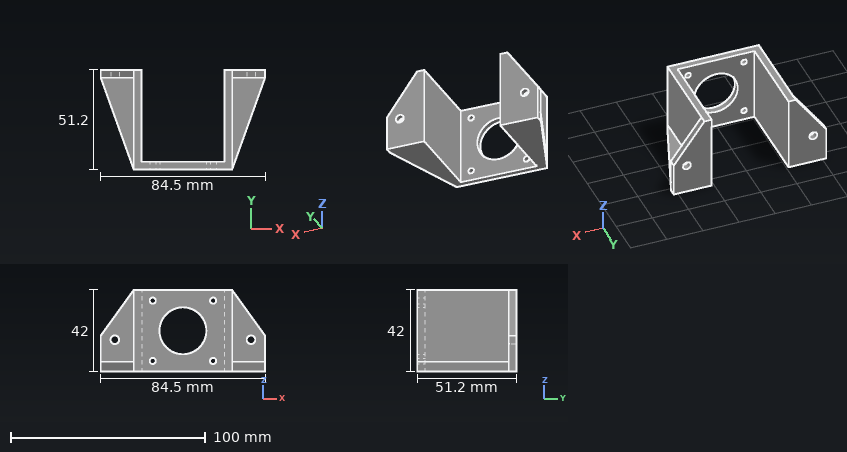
import cadquery as cq

total_width = 84.5
depth = 51.2
height = 42.0

body_width = 50.6
wall = 4.05

ear_thickness = 4.05
ear_edge_height = 18.5
gusset_thickness = 5.1

bore_diameter = 24.0
screw_diameter = 3.0
screw_spacing = 31.0
ear_hole_diameter = 4.3
ear_hole_spacing = 70.0
ear_hole_height = 16.4

half_width = total_width / 2
half_body = body_width / 2
ear_front = depth - ear_thickness


def make_body():
    """Front plate with two walls running back, open at the rear, top and bottom."""
    block = cq.Workplane("XY").box(body_width, depth, height, centered=(True, False, False))
    opening = (
        cq.Workplane("XY")
        .box(body_width - 2 * wall, depth - wall, height, centered=(True, False, False))
        .translate((0, wall, 0))
    )
    return block.cut(opening)


def make_ear(side):
    """Rear ear with a sloping top; side is -1 for left and 1 for right."""
    inner = side * (half_body - wall)
    root = side * half_body
    tip = side * half_width
    return (
        cq.Workplane("XZ", origin=(0, depth, 0))
        .polyline([(inner, 0), (tip, 0), (tip, ear_edge_height), (root, height), (inner, height)])
        .close()
        .extrude(ear_thickness)
    )


def make_gusset(side):
    """Triangular floor between the side wall and the ear."""
    root = side * half_body
    tip = side * half_width
    return (
        cq.Workplane("XY")
        .polyline([(root, 0), (tip, ear_front), (root, ear_front)])
        .close()
        .extrude(gusset_thickness)
    )


def make_drill(x, z, diameter, y_start, length):
    """Cylinder along Y for cutting a through hole."""
    return cq.Workplane("XZ", origin=(x, y_start, z)).circle(diameter / 2).extrude(-length)


result = make_body()
for side in (-1, 1):
    result = result.union(make_ear(side)).union(make_gusset(side))

bore_height = height / 2
result = result.cut(make_drill(0, bore_height, bore_diameter, 0, wall))
for x_side in (-1, 1):
    for z_side in (-1, 1):
        screw_x = x_side * screw_spacing / 2
        screw_z = bore_height + z_side * screw_spacing / 2
        result = result.cut(make_drill(screw_x, screw_z, screw_diameter, 0, wall))

for side in (-1, 1):
    ear_hole_x = side * ear_hole_spacing / 2
    result = result.cut(
        make_drill(ear_hole_x, ear_hole_height, ear_hole_diameter, ear_front, ear_thickness)
    )